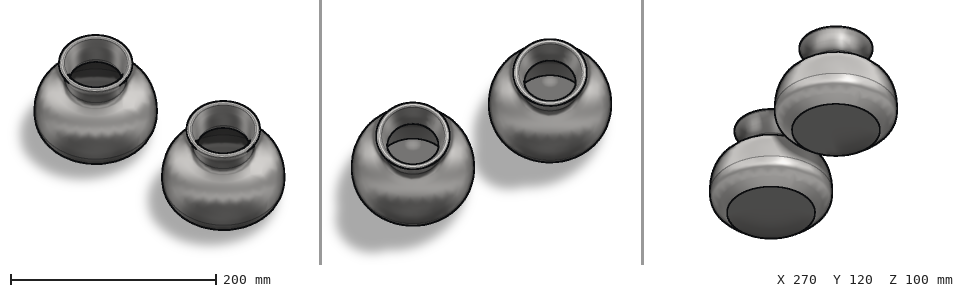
import cadquery as cq

overall_length = 270.0
pot_height = 100.0
belly_radius = 60.0
pot_spacing = overall_length - 2 * belly_radius

base_radius = 43.0
belly_height = pot_height / 4
neck_radius = belly_radius / 2
neck_height = pot_height * 3 / 4
mouth_radius = 37.0

under_belly_handle = 12.5
over_belly_handle = 43.2
under_neck_handle = 12.2
over_neck_handle = 10.8

base_flare_out = 10.8
base_flare_up = 9.7
mouth_flare_in = 4.9
mouth_flare_down = 8.6

wall_thickness = 5.0
rim_fillet = 1.5


def make_outer_body():
    """Solid of revolution about Z; the profile is vertical at the belly and at the neck."""
    profile = (
        cq.Workplane("XZ")
        .lineTo(base_radius, 0)
        .bezier([
            (base_radius, 0),
            (base_radius + base_flare_out, base_flare_up),
            (belly_radius, belly_height - under_belly_handle),
            (belly_radius, belly_height),
        ])
        .bezier([
            (belly_radius, belly_height),
            (belly_radius, belly_height + over_belly_handle),
            (neck_radius, neck_height - under_neck_handle),
            (neck_radius, neck_height),
        ])
        .bezier([
            (neck_radius, neck_height),
            (neck_radius, neck_height + over_neck_handle),
            (mouth_radius - mouth_flare_in, pot_height - mouth_flare_down),
            (mouth_radius, pot_height),
        ])
        .lineTo(0, pot_height)
        .close()
    )
    return profile.revolve(360, (0, 0), (0, 1))


def make_pot(center_x):
    """Hollow pot of even wall thickness, open at the top, with a rounded rim."""
    pot = make_outer_body().faces(">Z").shell(-wall_thickness)
    pot = pot.faces(">Z").edges().fillet(rim_fillet)
    return pot.translate((center_x, 0, 0))


pots = []
for side in (-1, 1):
    pots.append(make_pot(side * pot_spacing / 2))

result = cq.Compound.makeCompound([pot.val() for pot in pots])